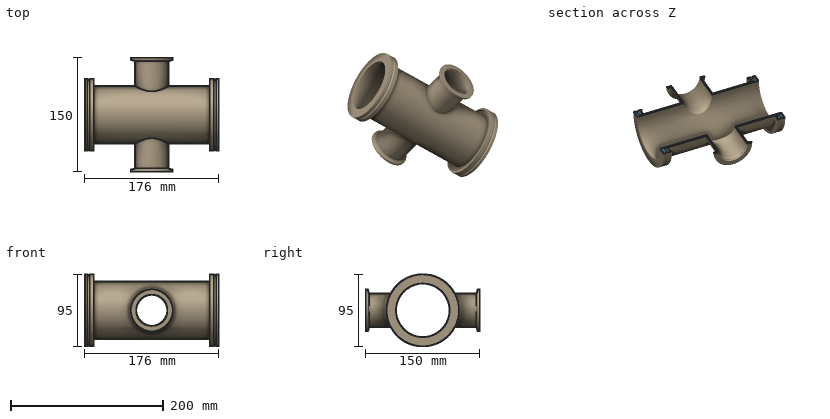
import cadquery as cq
import math

run_length = 176.0
branch_span = 150.0

run_outer_radius = 76.1 / 2
run_bore_radius = 70.0 / 2

end_flange_radius = 95.0 / 2
end_flange_thickness = 12.0
tube_setback = 6.0
groove_start = 3.5
groove_radius = 1.5
relief_radius = 45.0
relief_depth = 1.75

branch_outer_radius = 44.5 / 2
branch_bore_radius = 40.5 / 2
rim_radius = 55.0 / 2
rim_edge_width = 3.0
rim_taper_angle = 15.0
rim_edge_fillet = 1.0
rim_root_fillet = 0.5
rim_recess_radius = 41.2 / 2
rim_recess_depth = 2.5


def make_cross():
    """Run tube, both branch tubes and their clamp rims as one welded body."""
    tube_length = run_length - 2 * tube_setback
    run_tube = cq.Workplane("YZ").circle(run_outer_radius).extrude(tube_length / 2, both=True)
    run_bore = cq.Workplane("YZ").circle(run_bore_radius).extrude(tube_length / 2, both=True)
    branch_bore = cq.Workplane("XZ").circle(branch_bore_radius).extrude(branch_span / 2, both=True)

    welded = run_tube
    for side in (-1, 1):
        welded = welded.union(make_branch(side))
    welded = welded.cut(run_bore).cut(branch_bore)
    for side in (-1, 1):
        welded = welded.cut(make_rim_recess(side))
    return welded


def make_branch(side):
    """Solid branch tube and rim from the run axis outward; side is -1 or 1 along Y."""
    rim_face = branch_span / 2
    rim_edge_back = rim_face - rim_edge_width
    taper_length = (rim_radius - branch_outer_radius) * math.tan(math.radians(rim_taper_angle))
    outline = [
        (0, 0),
        (branch_outer_radius, 0),
        (branch_outer_radius, side * (rim_edge_back - taper_length)),
        (rim_radius, side * rim_edge_back),
        (rim_radius, side * rim_face),
        (0, side * rim_face),
    ]
    branch = cq.Workplane("XY").polyline(outline).close().revolve(360, (0, 0), (0, 1))
    edge_centre = (0, side * rim_edge_back, 0)
    root_centre = (0, side * (rim_edge_back - taper_length), 0)
    branch = branch.edges(cq.NearestToPointSelector(edge_centre)).fillet(rim_edge_fillet)
    return branch.edges(cq.NearestToPointSelector(root_centre)).fillet(rim_root_fillet)


def make_rim_recess(side):
    """Shallow counterbore in the mouth of one branch."""
    mouth = cq.Workplane("XZ", origin=(0, side * branch_span / 2, 0))
    return mouth.circle(rim_recess_radius).extrude(side * rim_recess_depth)


def make_end_flange(side):
    """Grooved ring with a socket for the run tube; side is -1 or 1 along X."""
    def at(depth, radius):
        """Profile point at a depth behind the flange face."""
        return (side * (run_length / 2 - depth), radius)

    groove_middle = groove_start + groove_radius
    profile = (
        cq.Workplane("XY")
        .moveTo(*at(0, run_bore_radius))
        .lineTo(*at(0, end_flange_radius))
        .lineTo(*at(groove_start, end_flange_radius))
        .threePointArc(
            at(groove_middle, end_flange_radius - groove_radius),
            at(groove_start + 2 * groove_radius, end_flange_radius),
        )
        .lineTo(*at(end_flange_thickness, end_flange_radius))
        .lineTo(*at(end_flange_thickness, relief_radius))
        .lineTo(*at(end_flange_thickness - relief_depth, relief_radius))
        .lineTo(*at(end_flange_thickness - relief_depth, run_outer_radius))
        .lineTo(*at(tube_setback, run_outer_radius))
        .lineTo(*at(tube_setback, run_bore_radius))
        .close()
    )
    return profile.revolve(360, (0, 0), (1, 0))


cross = make_cross()
end_flanges = [make_end_flange(side) for side in (-1, 1)]

result = cq.Compound.makeCompound([cross.val(), *[flange.val() for flange in end_flanges]])